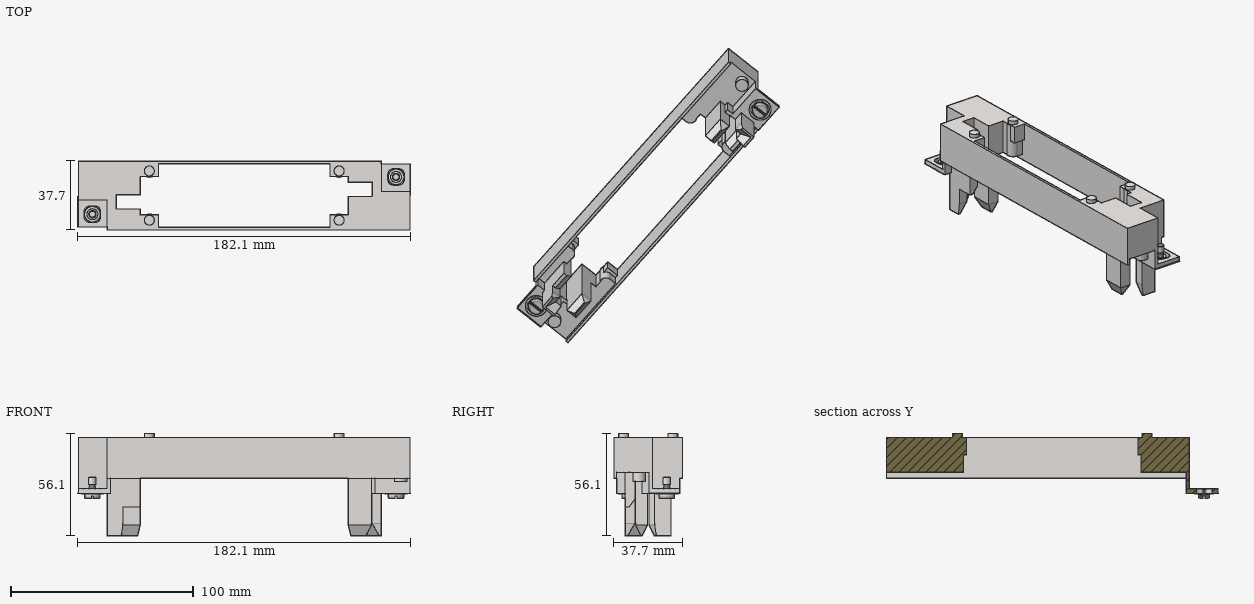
import cadquery as cq


FRAME_LENGTH = 181.3
FRAME_WIDTH = 37.7
WALL_BOTTOM = -22.4
BLOCK_BOTTOM = -19.1
HALF_CAVITY_WIDTH = 17.3

POST_END_X = 46.8
OPENING_END_X = 56.8
HALF_POST_GAP = 10.4
POST_CENTRE = (51.9, 13.5)
POST_ROUND_DIAMETER = 7.0
POST_CORNER_BOTTOM = -9.6
PEG_DIAMETER = 5.5
PEG_HEIGHT = 2.2

SOCKET_END_X = 69.9
SOCKET_Y_MIN = -7.3
SOCKET_Y_MAX = 0.4
LEG_BOTTOM = -53.9
LEAD_IN_HEIGHT = 6.7
LEAD_IN_SIZE = 4.0

TONGUE_END_X = 69.5
TONGUE_WIDTH = 6.5
TONGUE_TIP_WIDTH = 0.7
TONGUE_TAPER_HEIGHT = 6.0
TONGUE_INNER_SETBACK = 1.5
TONGUE_OUTER_SETBACK = 3.0

LEG_OUTER_X = 75.0
LEG_INNER_X = 66.2
LEG_Y_MIN = -12.5
LEG_Y_MAX = -3.5
LEG_TIP_SETBACK = 1.0
SHOULDER_BOTTOM = -38.2
SHOULDER_BEVEL_Y = -10.5
SHOULDER_BEVEL_TOP = -33.9

FOOT_OUTER_X = FRAME_LENGTH / 2
FOOT_LIP = 0.4
FOOT_INNER_X = 73.2
FOOT_BOTTOM = -30.8
RIB_INNER_X = 71.5
RIB_Y_MAX = 3.5
POCKET_Y = -2.4
POCKET_FLOOR = -28.0

BOSS_CENTRE = (-85.5, 5.0)
BOSS_DIAMETER = 7.0
BOSS_BOTTOM = -24.0

SCREW_CENTRE = (-83.0, -10.2)
SCREW_HOLE_SIZE = 9.1
SCREW_HOLE_RADIUS = 3.3
WASHER_DIAMETER = 12.0
WASHER_THICKNESS = 0.4
SHANK_DIAMETER = 6.0
STEM_DIAMETER = 3.5
STEM_TOP = -27.1
NECK_DIAMETER = 3.0
TIP_DIAMETER = 4.0
TIP_CHAMFER = 0.4
TIP_BOTTOM = -26.0
TIP_TOP = -21.7
SHANK_TOP = -28.4
HEAD_DIAMETER = 8.5
HEAD_HEIGHT = 2.4
HEAD_FILLET = 0.7
HEAD_SLOT_WIDTH = 1.0
HEAD_SLOT_DEPTH = 1.3


def block(x_range, y_range, z_range):
    """Axis-aligned box between the given limits."""
    (x0, x1), (y0, y1), (z0, z1) = x_range, y_range, z_range
    return cq.Workplane("XY").box(x1 - x0, y1 - y0, z1 - z0, centered=False).translate((x0, y0, z0))


def cylinder(centre, diameter, z_bottom, z_top):
    return (
        cq.Workplane("XY").workplane(offset=z_bottom).center(*centre)
        .circle(diameter / 2).extrude(z_top - z_bottom)
    )


def as_modelled(body):
    return body


def half_turn(body):
    return body.rotate((0, 0, 0), (0, 0, 1), 180)


def side_walls_and_end_blocks():
    half_length, half_width = FRAME_LENGTH / 2, FRAME_WIDTH / 2
    body = block((-half_length, half_length), (-half_width, half_width), (WALL_BOTTOM, 0))
    cavity_y = (-HALF_CAVITY_WIDTH, HALF_CAVITY_WIDTH)
    body = body.cut(block((-half_length, half_length), cavity_y, (WALL_BOTTOM, BLOCK_BOTTOM)))
    body = body.cut(block((-POST_END_X, POST_END_X), cavity_y, (WALL_BOTTOM, 0)))
    gap_y = (-HALF_POST_GAP, HALF_POST_GAP)
    return body.cut(block((-OPENING_END_X, OPENING_END_X), gap_y, (WALL_BOTTOM, 0)))


def finish_posts(body):
    """Round each corner post below its square top and set a peg on it."""
    x, y = POST_CENTRE
    flank_x = x - POST_ROUND_DIAMETER / 2
    for side_x in (-1, 1):
        for side_y in (-1, 1):
            centre = (side_x * x, side_y * y)
            corner_x = sorted((side_x * POST_END_X, side_x * x))
            flank = sorted((side_x * flank_x, side_x * x))
            wall_y = sorted((side_y * HALF_POST_GAP, side_y * HALF_CAVITY_WIDTH))
            web_y = sorted((side_y * y, side_y * HALF_CAVITY_WIDTH))
            lower_z = (BLOCK_BOTTOM, POST_CORNER_BOTTOM)
            body = body.cut(block(corner_x, wall_y, lower_z))
            body = body.union(block(flank, web_y, lower_z))
            body = body.union(cylinder(centre, POST_ROUND_DIAMETER, BLOCK_BOTTOM, 0))
            body = body.union(cylinder(centre, PEG_DIAMETER, 0, PEG_HEIGHT))
    return body


def foot():
    """Stepped foot below the end block, with the rib that ties it to the tongue."""
    foot_z = (FOOT_BOTTOM, BLOCK_BOTTOM)
    main = block((-FOOT_OUTER_X, -FOOT_INNER_X), (-HALF_CAVITY_WIDTH, -SOCKET_Y_MAX), foot_z)
    link = block((-FOOT_INNER_X, -RIB_INNER_X), (LEG_Y_MAX, -SOCKET_Y_MAX), foot_z)
    rib = block((-RIB_INNER_X, -TONGUE_END_X), (LEG_Y_MAX, RIB_Y_MAX), foot_z)
    lip = (
        cq.Workplane("XZ").workplane(offset=SOCKET_Y_MAX)
        .polyline([
            (-FOOT_OUTER_X, FOOT_BOTTOM), (-FOOT_OUTER_X - FOOT_LIP, FOOT_BOTTOM),
            (-FOOT_OUTER_X, FOOT_BOTTOM + FOOT_LIP),
        ])
        .close().extrude(HALF_CAVITY_WIDTH - SOCKET_Y_MAX)
    )
    return main.union(lip).union(link).union(rib)


def leg():
    """Outer leg: wide shoulder with a bevelled underside, narrow below and tapered at the tip."""
    tip_top = LEG_BOTTOM + LEAD_IN_HEIGHT
    narrow = block((-LEG_OUTER_X, -LEG_INNER_X), (LEG_Y_MIN, LEG_Y_MAX), (tip_top, BLOCK_BOTTOM))
    length = LEG_OUTER_X - LEG_INNER_X
    width = LEG_Y_MAX - LEG_Y_MIN
    tip = (
        cq.Workplane("XY", origin=(-LEG_OUTER_X, LEG_Y_MIN, LEG_BOTTOM))
        .rect(length - LEG_TIP_SETBACK, width - LEG_TIP_SETBACK, centered=False)
        .workplane(offset=LEAD_IN_HEIGHT)
        .rect(length, width, centered=False)
        .loft(ruled=True)
    )
    shoulder = (
        cq.Workplane("YZ").workplane(offset=-LEG_INNER_X)
        .moveTo(LEG_Y_MIN, BLOCK_BOTTOM)
        .lineTo(LEG_Y_MIN, SHOULDER_BOTTOM)
        .lineTo(SHOULDER_BEVEL_Y, SHOULDER_BOTTOM)
        .lineTo(SOCKET_Y_MIN, SHOULDER_BEVEL_TOP)
        .lineTo(SOCKET_Y_MIN, BLOCK_BOTTOM)
        .close()
        .extrude(LEG_INNER_X - OPENING_END_X)
    )
    return narrow.union(tip).union(shoulder)


def slot_to(bottom):
    """Straight slot for the mating tongue, from the frame top down to the given level."""
    return block((-SOCKET_END_X, -OPENING_END_X), (SOCKET_Y_MIN, SOCKET_Y_MAX), (bottom, 0))


def socket():
    """Slot down to the leg tip, flared outwards at its mouth."""
    length = SOCKET_END_X - OPENING_END_X
    width = SOCKET_Y_MAX - SOCKET_Y_MIN
    mouth_shift = LEAD_IN_SIZE / 2
    centre_x = -(SOCKET_END_X + OPENING_END_X) / 2
    centre_y = (SOCKET_Y_MIN + SOCKET_Y_MAX) / 2
    mouth = (
        cq.Workplane("XY").workplane(offset=LEG_BOTTOM)
        .center(centre_x - mouth_shift, centre_y - mouth_shift)
        .rect(length + LEAD_IN_SIZE, width + LEAD_IN_SIZE)
        .workplane(offset=LEAD_IN_HEIGHT)
        .center(mouth_shift, mouth_shift)
        .rect(length, width)
        .loft(ruled=True)
    )
    return slot_to(LEG_BOTTOM).union(mouth)


def tongue():
    """Rectangular tongue beside the socket, tapering to a narrow ridge."""
    y_min = SOCKET_Y_MAX
    y_max = y_min + TONGUE_WIDTH
    tip_y_min = (y_min + y_max - TONGUE_TIP_WIDTH) / 2
    tip_y_max = tip_y_min + TONGUE_TIP_WIDTH
    taper_top = LEG_BOTTOM + TONGUE_TAPER_HEIGHT
    along_y = (
        cq.Workplane("YZ").workplane(offset=-TONGUE_END_X)
        .polyline([
            (y_min, BLOCK_BOTTOM), (y_min, taper_top), (tip_y_min, LEG_BOTTOM),
            (tip_y_max, LEG_BOTTOM), (y_max, taper_top), (y_max, BLOCK_BOTTOM),
        ])
        .close().extrude(TONGUE_END_X - OPENING_END_X)
    )
    along_x = (
        cq.Workplane("XZ").workplane(offset=-y_max)
        .polyline([
            (-TONGUE_END_X, BLOCK_BOTTOM), (-TONGUE_END_X, taper_top),
            (-TONGUE_END_X + TONGUE_OUTER_SETBACK, LEG_BOTTOM),
            (-OPENING_END_X - TONGUE_INNER_SETBACK, LEG_BOTTOM),
            (-OPENING_END_X, taper_top), (-OPENING_END_X, BLOCK_BOTTOM),
        ])
        .close().extrude(TONGUE_WIDTH)
    )
    return along_y.intersect(along_x)


def screw_pocket():
    """Open corner pocket with a rounded square hole through its floor."""
    pocket = block((-FOOT_OUTER_X, -LEG_OUTER_X), (-FRAME_WIDTH / 2, POCKET_Y), (POCKET_FLOOR, 0))
    hole = (
        cq.Workplane("XY").workplane(offset=FOOT_BOTTOM).center(*SCREW_CENTRE)
        .rect(SCREW_HOLE_SIZE, SCREW_HOLE_SIZE).extrude(POCKET_FLOOR - FOOT_BOTTOM)
        .edges("|Z").fillet(SCREW_HOLE_RADIUS)
    )
    return pocket.union(hole)


def make_frame():
    frame = finish_posts(side_walls_and_end_blocks())
    additions = (
        leg().union(foot()).cut(socket())
        .union(tongue())
        .union(cylinder(BOSS_CENTRE, BOSS_DIAMETER, BOSS_BOTTOM, BLOCK_BOTTOM))
    )
    cuts = slot_to(BLOCK_BOTTOM).union(screw_pocket())
    for place in (as_modelled, half_turn):
        frame = frame.union(place(additions)).cut(place(cuts))
    return frame


def make_washer():
    bottom = FOOT_BOTTOM - WASHER_THICKNESS
    washer = cylinder(SCREW_CENTRE, WASHER_DIAMETER, bottom, FOOT_BOTTOM)
    return washer.cut(cylinder(SCREW_CENTRE, SHANK_DIAMETER, bottom, FOOT_BOTTOM))


def make_screw():
    """Slotted screw with a shank through the washer and a necked, chamfered tip."""
    head_top = FOOT_BOTTOM - WASHER_THICKNESS
    head_bottom = head_top - HEAD_HEIGHT
    head = cylinder(SCREW_CENTRE, HEAD_DIAMETER, head_bottom, head_top).faces("<Z").fillet(HEAD_FILLET)
    x, y = SCREW_CENTRE
    slot = block(
        (x - HEAD_SLOT_WIDTH / 2, x + HEAD_SLOT_WIDTH / 2),
        (y - HEAD_DIAMETER / 2, y + HEAD_DIAMETER / 2),
        (head_bottom, head_bottom + HEAD_SLOT_DEPTH),
    )
    tip = cylinder(SCREW_CENTRE, TIP_DIAMETER, TIP_BOTTOM, TIP_TOP).edges().chamfer(TIP_CHAMFER)
    shank = cylinder(SCREW_CENTRE, SHANK_DIAMETER, head_top, SHANK_TOP)
    stem = cylinder(SCREW_CENTRE, STEM_DIAMETER, SHANK_TOP, STEM_TOP)
    neck = cylinder(SCREW_CENTRE, NECK_DIAMETER, STEM_TOP, TIP_BOTTOM)
    return head.cut(slot).union(shank).union(stem).union(neck).union(tip)


frame = make_frame()
screws = []
washers = []
for place in (as_modelled, half_turn):
    screws.append(place(make_screw()))
    washers.append(place(make_washer()))

result = cq.Compound.makeCompound(
    [frame.val()] + [screw.val() for screw in screws] + [washer.val() for washer in washers]
)